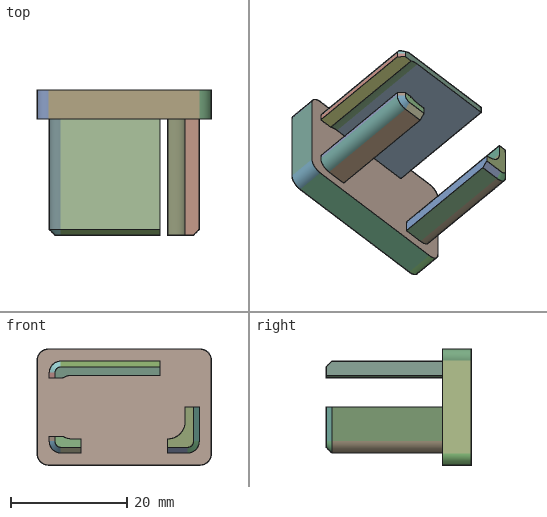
import cadquery as cq
import math

plate_width = 30.0
plate_height = 20.0
total_depth = 25.0
plate_thickness = 5.0
corner_radius = 2.0

plug_inset = 2.1
leg_length = total_depth - plate_thickness
lead_in_chamfer = 1.0
plug_right = plate_width / 2 - plug_inset
plug_left = -plug_right
plug_top = plate_height / 2 - plug_inset
plug_bottom = -plug_top

wall = 2.43
inner_radius = 3.0
foot_length = wall + inner_radius
top_leg_length = 19.05
end_thickness = 2.88
left_arc_center = 3.93
right_leg_top = 0.05


def rounded_block(width, height, depth):
    """Block centred on the Y axis with rounded corners, running from y = 0 toward -Y."""
    block = cq.Workplane("XZ").rect(width, height).extrude(depth)
    return block.edges("|Y").fillet(corner_radius)


def left_leg_section(length):
    """Bottom-left leg: a flat wall that thickens along an arc toward its left end."""
    step = end_thickness - wall
    arc_run = math.sqrt(inner_radius**2 - (inner_radius - step) ** 2)
    wall_z = plug_bottom + wall
    arc_end_x = plug_left + left_arc_center
    half_angle = math.asin(arc_run / inner_radius) / 2
    arc_middle = (
        arc_end_x - inner_radius * math.sin(half_angle),
        wall_z + inner_radius * (1 - math.cos(half_angle)),
    )
    return (
        cq.Workplane("XZ")
        .moveTo(plug_left, plug_bottom)
        .lineTo(plug_left + length, plug_bottom)
        .lineTo(plug_left + length, wall_z)
        .lineTo(arc_end_x, wall_z)
        .threePointArc(arc_middle, (arc_end_x - arc_run, wall_z + step))
        .lineTo(plug_left, wall_z + step)
        .close()
        .extrude(leg_length)
    )


def right_leg_section():
    """Bottom-right leg: an L with a large concave arc in its inner corner."""
    inner_x = plug_right - wall
    inner_z = plug_bottom + wall
    arc_offset = inner_radius * (1 - math.sqrt(0.5))
    return (
        cq.Workplane("XZ")
        .moveTo(plug_right, plug_bottom)
        .lineTo(plug_right, right_leg_top)
        .lineTo(inner_x, right_leg_top)
        .lineTo(inner_x, inner_z + inner_radius)
        .threePointArc(
            (inner_x - arc_offset, inner_z + arc_offset),
            (plug_right - foot_length, inner_z),
        )
        .lineTo(plug_right - foot_length, plug_bottom)
        .close()
        .extrude(leg_length)
    )


plate = rounded_block(plate_width, plate_height, plate_thickness).translate((0, plate_thickness, 0))

plug = rounded_block(plug_right - plug_left, plug_top - plug_bottom, leg_length)
plug = plug.faces("<Y").edges().chamfer(lead_in_chamfer)

bottom_left_leg = left_leg_section(foot_length)
top_left_leg = left_leg_section(top_leg_length).mirror("XY")
result = plate
for leg in (bottom_left_leg, top_left_leg, right_leg_section()):
    result = result.union(leg.intersect(plug))